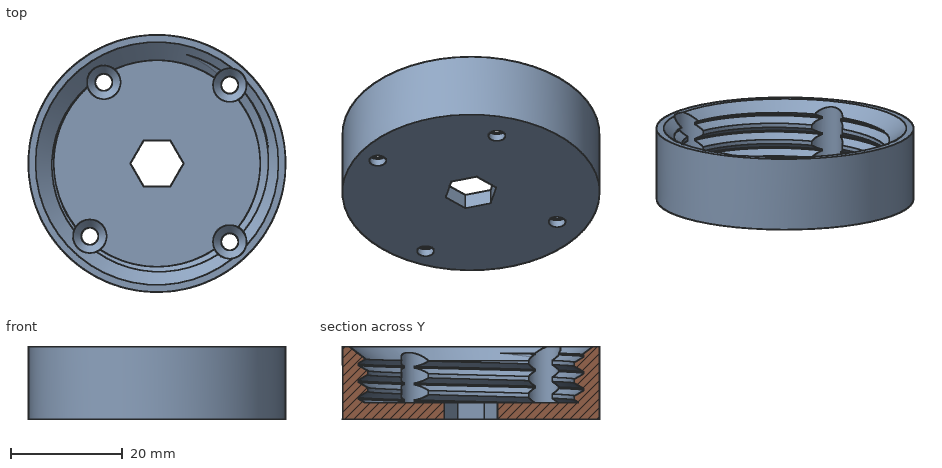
import cadquery as cq
import math

OUTER_DIAMETER = 46.0
HEIGHT = 13.0
FLOOR_THICKNESS = 3.0

HEX_ACROSS_FLATS = 8.2
HEX_SIDES = 6

THREAD_PITCH = 3.0
CREST_RADIUS = 18.45
CREST_WIDTH = THREAD_PITCH / 4
FLANK_ANGLE = 30.0
FLANK_SLOPE = math.tan(math.radians(FLANK_ANGLE))
THREAD_DEPTH = 1.72
THREAD_START_ANGLE = 80.0
BORE_OVERLAP = 0.2
RUN_OUT_TURNS = 2

MOUTH_RADIUS = 21.7
LEAD_IN_HEIGHT = 2.5

SCREW_POSITIONS = [(-9.5, 14.5), (13.0, 14.0), (13.0, -14.0), (-12.0, -13.0)]
SCREW_DIAMETER = 3.0
HEAD_DIAMETER = 6.0
COUNTERSINK_DEPTH = (HEAD_DIAMETER - SCREW_DIAMETER) / 2


def make_lead_in():
    """Cone that widens from the thread crests to the mouth at the rim."""
    lead_in_bottom = HEIGHT - LEAD_IN_HEIGHT
    outline = [
        (0, lead_in_bottom),
        (CREST_RADIUS, lead_in_bottom),
        (MOUTH_RADIUS, HEIGHT),
        (0, HEIGHT),
    ]
    return cq.Workplane("XZ").polyline(outline).close().revolve(360, (0, 0), (0, 1))


def make_thread_groove():
    """Helical V groove with a flat root, running past both ends of the wall."""
    half_mouth = (THREAD_PITCH - CREST_WIDTH) / 2
    half_root = half_mouth - THREAD_DEPTH * FLANK_SLOPE
    root_radius = CREST_RADIUS + THREAD_DEPTH
    inner_radius = CREST_RADIUS - BORE_OVERLAP
    half_inner = half_mouth + BORE_OVERLAP * FLANK_SLOPE

    turns = math.ceil((HEIGHT - FLOOR_THICKNESS) / THREAD_PITCH) + RUN_OUT_TURNS
    profile = [
        (inner_radius, -half_inner),
        (root_radius, -half_root),
        (root_radius, half_root),
        (inner_radius, half_inner),
    ]
    helix = cq.Wire.makeHelix(THREAD_PITCH, turns * THREAD_PITCH, CREST_RADIUS)
    groove = cq.Workplane("XZ").polyline(profile).close().sweep(cq.Workplane(helix), isFrenet=True)
    return groove.translate((0, 0, FLOOR_THICKNESS - THREAD_PITCH))


def make_screw_cutter():
    """Through hole, countersink in the floor and head clearance up to the rim."""
    screw_radius = SCREW_DIAMETER / 2
    head_radius = HEAD_DIAMETER / 2
    outline = [
        (0, 0),
        (screw_radius, 0),
        (screw_radius, FLOOR_THICKNESS - COUNTERSINK_DEPTH),
        (head_radius, FLOOR_THICKNESS),
        (head_radius, HEIGHT),
        (0, HEIGHT),
    ]
    return cq.Workplane("XZ").polyline(outline).close().revolve(360, (0, 0), (0, 1))


def make_hex_opening():
    """Hexagonal prism through the floor with two corners on the X axis."""
    across_corners = HEX_ACROSS_FLATS / math.cos(math.pi / HEX_SIDES)
    return cq.Workplane("XY").polygon(HEX_SIDES, across_corners).extrude(FLOOR_THICKNESS)


wall = cq.Workplane("XY").workplane(offset=FLOOR_THICKNESS).circle(OUTER_DIAMETER / 2)
wall = wall.circle(CREST_RADIUS).extrude(HEIGHT - FLOOR_THICKNESS)
wall = wall.cut(make_thread_groove())
wall = wall.cut(make_lead_in())
wall = wall.rotate((0, 0, 0), (0, 0, 1), THREAD_START_ANGLE)

floor = cq.Workplane("XY").circle(OUTER_DIAMETER / 2).extrude(FLOOR_THICKNESS)
floor = floor.cut(make_hex_opening())

result = wall.union(floor)

screw_cutter = make_screw_cutter()
for x, y in SCREW_POSITIONS:
    result = result.cut(screw_cutter.translate((x, y, 0)))